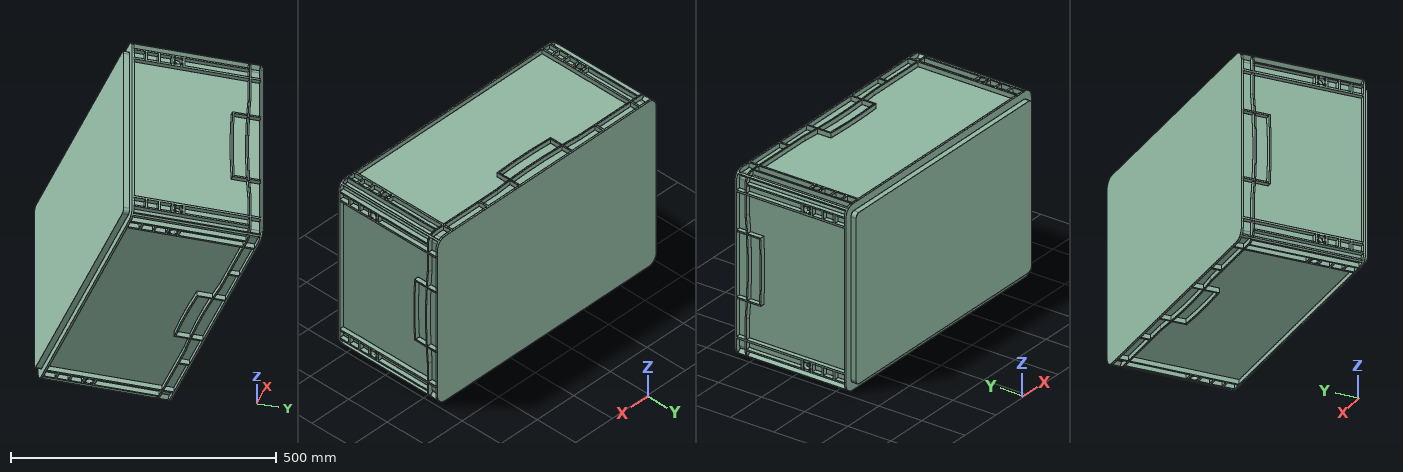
import cadquery as cq
import math


LENGTH = 598.0
DEPTH = 270.0
WIDTH = 398.0
CORNER_RADIUS = 21.0
RIM_Y = DEPTH / 2

FOOT_HEIGHT = 12.0
FOOT_INSET = 16.0
FOOT_RADIUS = 9.0
BODY_DEPTH = DEPTH - FOOT_HEIGHT

RECESS = 10.0
RIB = 4.0
THIN_RIB = 3.0
END_RIB_START = CORNER_RADIUS
POCKET_START = END_RIB_START + THIN_RIB
POCKET_WIDTH = 17.0
PANEL_RIB_START = POCKET_START + POCKET_WIDTH
DIAGONAL_ANGLE = 45
RIM_RIB_OFFSET = 158.5

LEDGE_DROP = 24.0
LEDGE_SAG = 5.0
ARCH_HALF = 110.5
ARCH_RADIUS = (ARCH_HALF**2 + LEDGE_SAG**2) / (2 * LEDGE_SAG)

HANDLE_HALF = 73.0
HANDLE_DROP = 62.0
HANDLE_SAG = ARCH_RADIUS - math.sqrt(ARCH_RADIUS**2 - HANDLE_HALF**2)

CELL_HEIGHT = 22.0
CELL_PITCH = CELL_HEIGHT + RIB
CELL_COUNT = 4
RING_CELL = 18.0
RING_OUTER = 9.5
RING_INNER = 7.0


def prism(size_x, size_z, radius, y_top, height):
    """Block with rounded edges along Y, hanging down from y_top."""
    block = cq.Workplane("XY").box(size_x, height, size_z).edges("|Y").fillet(radius)
    return block.translate((0, y_top - height / 2, 0))


def wall_block(u_min, u_max, drop, height, base):
    """Rib on the +Z wall, from u_min to u_max, starting 'drop' below the rim."""
    return (
        cq.Workplane("XY", origin=(0, 0, base))
        .center((u_min + u_max) / 2, RIM_Y - drop - height / 2)
        .rect(u_max - u_min, height)
        .extrude(RECESS)
    )


def ledge(span, top):
    """Ledge running over the whole wall and around the rounded corners."""
    near = RIM_Y - LEDGE_DROP
    far = near - THIN_RIB
    half = span / 2
    return (
        cq.Workplane("XY", origin=(0, 0, top - CORNER_RADIUS))
        .moveTo(-half, near)
        .lineTo(-ARCH_HALF, near)
        .threePointArc((0, near - LEDGE_SAG), (ARCH_HALF, near))
        .lineTo(half, near)
        .lineTo(half, far)
        .lineTo(ARCH_HALF, far)
        .threePointArc((0, far - LEDGE_SAG), (-ARCH_HALF, far))
        .lineTo(-half, far)
        .close()
        .extrude(CORNER_RADIUS)
    )


def handle_outline(half, bottom, base):
    """Handle block from the rim down to a bowed lower edge."""
    end = bottom + HANDLE_SAG
    return (
        cq.Workplane("XY", origin=(0, 0, base))
        .moveTo(-half, RIM_Y)
        .lineTo(-half, end)
        .threePointArc((0, bottom), (half, end))
        .lineTo(half, RIM_Y)
        .close()
        .extrude(RECESS)
    )


def handle_frame(base):
    bottom = RIM_Y - HANDLE_DROP
    outer = handle_outline(HANDLE_HALF, bottom, base)
    inner = handle_outline(HANDLE_HALF - THIN_RIB, bottom + THIN_RIB, base)
    return outer.cut(inner)


def channel(span, base):
    """End rib, panel rib, cross ribs and ring at the +u end of a wall."""
    end = span / 2
    pocket_outer = end - POCKET_START
    pocket_inner = end - PANEL_RIB_START
    end_rib_height = BODY_DEPTH - LEDGE_DROP
    ribs = wall_block(pocket_outer, end - END_RIB_START, LEDGE_DROP, end_rib_height, base)
    ribs = ribs.union(wall_block(pocket_inner - RIB, pocket_inner, 0, BODY_DEPTH, base))

    flange_drop = BODY_DEPTH - RIB
    for cell in range(1, CELL_COUNT):
        drop = flange_drop - cell * CELL_PITCH
        ribs = ribs.union(wall_block(pocket_inner, pocket_outer, drop, RIB, base))

    ring_drop = flange_drop - (CELL_COUNT - 1) * CELL_PITCH - RING_CELL / 2
    cell_top = ring_drop - RING_CELL / 2 - RIB
    ribs = ribs.union(wall_block(pocket_inner, pocket_outer, cell_top, RIB, base))
    ring_plane = cq.Workplane(
        "XY", origin=((pocket_inner + pocket_outer) / 2, RIM_Y - ring_drop, base)
    )
    ring = ring_plane.circle(RING_OUTER).extrude(RECESS)
    hole = ring_plane.circle(RING_INNER).extrude(RECESS)
    return ribs.union(ring).cut(hole)


def wall_ribs(span, top, rim_rib_offsets):
    """All ribs of one wall, built facing +Z with its outer surface at z = top."""
    base = top - RECESS
    end_ribs = channel(span, base)
    ribs = end_ribs.union(end_ribs.mirror("YZ"))
    ribs = ribs.union(ledge(span, top)).union(handle_frame(base))
    for offset in rim_rib_offsets:
        ribs = ribs.union(wall_block(offset - RIB / 2, offset + RIB / 2, 0, LEDGE_DROP, base))
    return ribs


def corner_ribs():
    """Rib on the diagonal of each rounded corner."""
    rib_length = 2 * CORNER_RADIUS
    y_middle = RIM_Y - BODY_DEPTH / 2
    ribs = []
    for side_x in (-1, 1):
        for side_z in (-1, 1):
            rib = (
                cq.Workplane("XY")
                .box(rib_length, BODY_DEPTH, RIB)
                .rotate((0, 0, 0), (0, 1, 0), -DIAGONAL_ANGLE * side_x * side_z)
                .translate((side_x * LENGTH / 2, y_middle, side_z * WIDTH / 2))
            )
            ribs.append(rib)
    return ribs


long_wall = wall_ribs(LENGTH, WIDTH / 2, (-RIM_RIB_OFFSET, RIM_RIB_OFFSET))
short_wall = wall_ribs(WIDTH, LENGTH / 2, ())

body = prism(
    LENGTH - 2 * RECESS,
    WIDTH - 2 * RECESS,
    CORNER_RADIUS - RECESS,
    RIM_Y,
    BODY_DEPTH,
)
for wall, angles in ((long_wall, (0, 180)), (short_wall, (90, -90))):
    for angle in angles:
        body = body.union(wall.rotate((0, 0, 0), (0, 1, 0), angle))
for rib in corner_ribs():
    body = body.union(rib)

body = body.intersect(prism(LENGTH, WIDTH, CORNER_RADIUS, RIM_Y, BODY_DEPTH))
rim_flange = prism(LENGTH, WIDTH, CORNER_RADIUS, RIM_Y, RIB)
base_flange = prism(LENGTH, WIDTH, CORNER_RADIUS, RIM_Y - BODY_DEPTH + RIB, RIB)
foot = prism(
    LENGTH - 2 * FOOT_INSET,
    WIDTH - 2 * FOOT_INSET,
    FOOT_RADIUS,
    RIM_Y - BODY_DEPTH,
    FOOT_HEIGHT,
)
result = body.union(rim_flange).union(base_flange).union(foot)